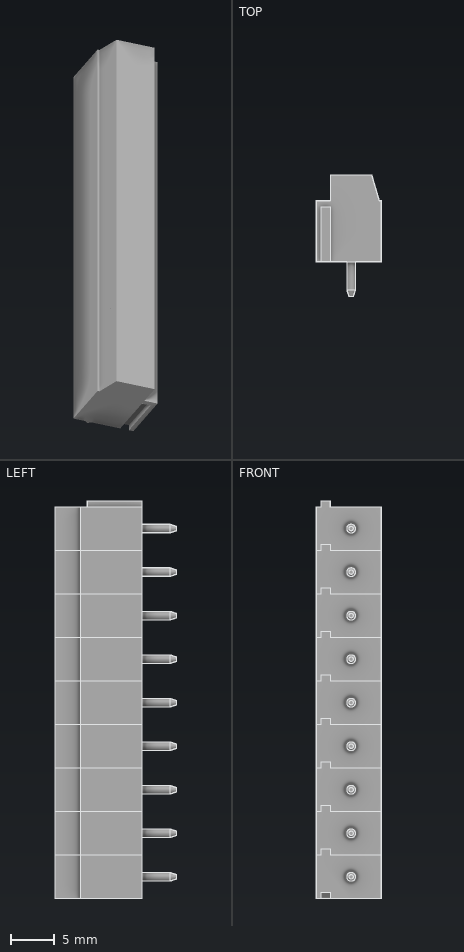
import cadquery as cq

block_count = 9
stack_height = 45.7

tongue_height = 0.7
tongue_inset = 0.55
tongue_setback = 0.75

pitch = (stack_height - tongue_height) / block_count
block_width = 7.5
block_depth = 10.0
back_step_depth = 2.95
shoulder_width = 1.65
ledge_width = 0.25
bevel_width = 0.85
shoulder_y = block_depth - back_step_depth

tongue_width = shoulder_width - tongue_inset
tongue_length = shoulder_y - tongue_setback

pin_x = 4.0
pin_diameter = 1.0
pin_tip_diameter = 0.5
pin_tip_length = 0.75
overall_depth = 14.0
pin_length = overall_depth - block_depth


def make_housing():
    """Stepped block outline extruded over one pitch."""
    outline = [
        (0, 0),
        (block_width, 0),
        (block_width, shoulder_y),
        (block_width - ledge_width, shoulder_y),
        (block_width - ledge_width - bevel_width, block_depth),
        (shoulder_width, block_depth),
        (shoulder_width, shoulder_y),
        (0, shoulder_y),
    ]
    return cq.Workplane("XY").polyline(outline).close().extrude(pitch)


def make_tongue(base_z):
    """Rectangular bar used both as the tongue and as the groove cutter."""
    bar = cq.Workplane("XY").box(tongue_width, tongue_length, tongue_height, centered=False)
    return bar.translate((tongue_inset, 0, base_z))


def make_pin():
    """Round pin with a tapered tip, revolved about its own axis along Y."""
    tip_start = -(pin_length - pin_tip_length)
    profile = [
        (0, 0),
        (pin_diameter / 2, 0),
        (pin_diameter / 2, tip_start),
        (pin_tip_diameter / 2, -pin_length),
        (0, -pin_length),
    ]
    pin = cq.Workplane("XY").polyline(profile).close().revolve(360, (0, 0, 0), (0, 1, 0))
    return pin.translate((pin_x, 0, pitch / 2))


def make_terminal_block():
    """One housing with its groove, tongue and pin as a single solid."""
    grooved_housing = make_housing().cut(make_tongue(0))
    return grooved_housing.union(make_tongue(pitch)).union(make_pin())


terminal_block = make_terminal_block()
terminal_blocks = []
for index in range(block_count):
    placed_block = terminal_block.translate((0, 0, index * pitch))
    terminal_blocks.append(placed_block.val())

result = cq.Compound.makeCompound(terminal_blocks)